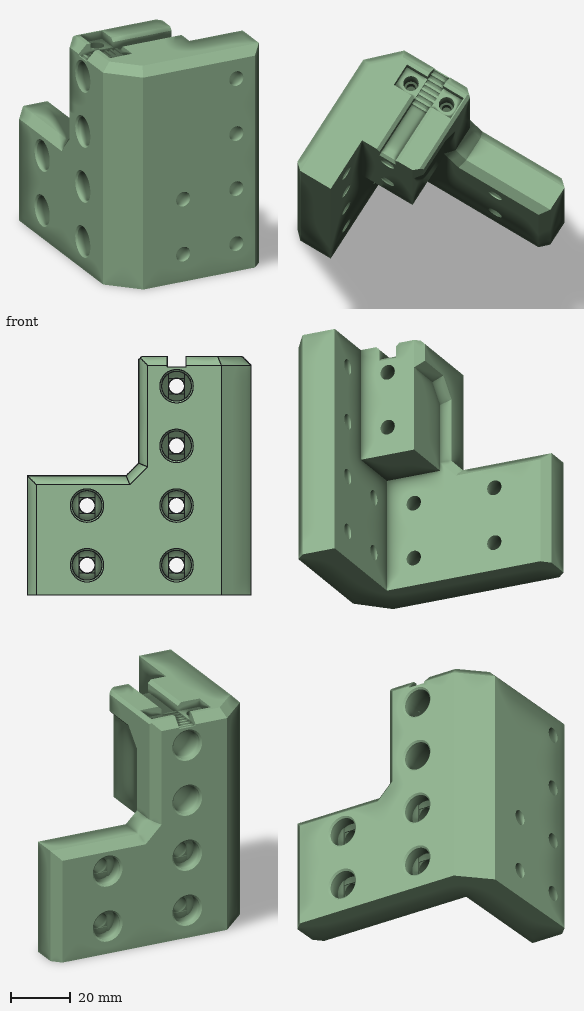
import cadquery as cq

OVERSHOOT = 1.0
TOLERANCE = 0.01

WIDTH, DEPTH, HEIGHT = 75.0, 55.0, 80.0
PLATE = 15.0
WING_TOP = 40.0

BEVEL = 3.0
REAR_BEVEL = 2.85
CORNER_BEVEL = 10.0
TOP_BEVEL = 1.1
NOTCH_BEVEL = 4.2

HOLE_PITCH = 20.0
FIRST_HOLE = 10.0
BOLT_D = 5.3
HEAD_D = 10.0
HEAD_BEVEL = 0.6
BRIDGE_STEP = 0.4
GRIP = 10.0
MAIN_COLUMN = 50.0
WING_COLUMN = 20.0
SIDE_COLUMN = DEPTH - FIRST_HOLE
LOW_ROWS = [FIRST_HOLE, FIRST_HOLE + HOLE_PITCH]
HIGH_ROWS = [row + 2 * HOLE_PITCH for row in LOW_ROWS]

WEB_LEFT = 37.3
WEB_BACK = PLATE + HOLE_PITCH
SIDE_FACE = WIDTH - PLATE
RECESS_FACE = WEB_LEFT + REAR_BEVEL
RECESS_TOP = 70.0
RECESS_CORNER = 6.0
RIM_CORNER = 6.3
REAR_LIP = 2.5
RIM_BASE = RECESS_TOP - 2 * RECESS_CORNER

BELT_WIDTH = 6.2
LAND_Z = 76.45
TOOTH_PITCH = 2.0
GROOVE_RADIUS = 0.6
GROOVE_DEPTH = 0.75
GROOVE_COUNT = 8
CHANNEL_BEVEL = 1.15
FLOOR_BEVEL = 1.0
POCKET_WIDTH, POCKET_LENGTH, POCKET_DEPTH = 22.4, 8.4, 3.0
POCKET_Y = 8.7
INSERT_SPACING = 14.0
INSERT_D, INSERT_MOUTH_D, INSERT_DEPTH = 4.7, 5.2, 5.5
SCREW_D, SCREW_DEPTH = 3.2, 3.0


def box(x0, x1, y0, y1, z0, z1):
    """Box between two opposite corners."""
    body = cq.Workplane("XY").box(x1 - x0, y1 - y0, z1 - z0, centered=False)
    return body.translate((x0, y0, z0))


def near(value, target):
    return abs(value - target) < TOLERANCE


def is_outer_edge(edge):
    """Tell whether an edge belongs to the front outline or to the outer side of the side plate."""
    x, y, z = edge.Center().toTuple()
    front = near(y, 0) and not near(x, WIDTH - CORNER_BEVEL)
    corner_top = near(z, HEIGHT) and x > WIDTH - CORNER_BEVEL and y < CORNER_BEVEL
    side_top = near(z, HEIGHT) and near(x, WIDTH)
    side_back = near(x, WIDTH) and near(y, DEPTH)
    return not near(z, 0) and (front or corner_top or side_top or side_back)


def is_wing_rear_edge(edge):
    """Tell whether an edge lies on the rear outline left of the web."""
    x, y, z = edge.Center().toTuple()
    return near(y, PLATE) and x < WEB_LEFT + TOLERANCE and not near(z, 0)


def plates():
    """Front and side plates with their bevelled edges."""
    front_outline = [
        (0, 0),
        (WIDTH, 0),
        (WIDTH, HEIGHT),
        (WEB_LEFT, HEIGHT),
        (WEB_LEFT, WING_TOP + NOTCH_BEVEL),
        (WEB_LEFT - NOTCH_BEVEL, WING_TOP),
        (0, WING_TOP),
    ]
    body = cq.Workplane("XZ").polyline(front_outline).close().extrude(-PLATE)
    body = body.union(box(SIDE_FACE, WIDTH, 0, DEPTH, 0, HEIGHT))
    body = body.edges("|Z and >X and <Y").chamfer(CORNER_BEVEL)
    rear_edges = [edge for edge in body.edges().vals() if is_wing_rear_edge(edge)]
    body = body.newObject(rear_edges).chamfer(REAR_BEVEL)
    outer_edges = [edge for edge in body.edges().vals() if is_outer_edge(edge)]
    return body.newObject(outer_edges).chamfer(BEVEL)


def recess_outline(inset, corner):
    """YZ outline of the open side of the rim, enlarged upward and forward by inset."""
    front = PLATE - inset
    top = RECESS_TOP + inset
    rear = WEB_BACK - inset * REAR_LIP / REAR_BEVEL
    past_rear = WEB_BACK + OVERSHOOT
    past_top = HEIGHT + OVERSHOOT
    past_base = RIM_BASE - OVERSHOOT
    return [
        (front, past_base),
        (front, top - corner),
        (front + corner, top),
        (rear, top),
        (rear, past_top),
        (past_rear, past_top),
        (past_rear, past_base),
    ]


def web():
    """Web block behind the front plate with a bevelled rim around its recessed left face."""
    block = box(RECESS_FACE, SIDE_FACE, PLATE, WEB_BACK, WING_TOP, HEIGHT)
    rim = box(WEB_LEFT, RECESS_FACE, PLATE - REAR_BEVEL, WEB_BACK, RIM_BASE, HEIGHT)
    recess = (
        cq.Workplane("YZ", origin=(WEB_LEFT, 0, 0))
        .polyline(recess_outline(REAR_BEVEL, RIM_CORNER)).close()
        .workplane(offset=REAR_BEVEL)
        .polyline(recess_outline(0, RECESS_CORNER)).close()
        .loft(ruled=True)
    )
    return block.union(rim.cut(recess))


def top_left_bevel():
    """Wedge removed along the upper left edge of the web."""
    corner = [
        (WEB_LEFT, HEIGHT),
        (WEB_LEFT + TOP_BEVEL, HEIGHT),
        (WEB_LEFT, HEIGHT - TOP_BEVEL),
    ]
    return cq.Workplane("XZ").polyline(corner).close().extrude(-WEB_BACK)


def front_bolt_hole(x, z, back):
    """Bolt hole along Y with a bevelled head bore and stepped layers behind the head."""
    plane = cq.Workplane("XZ", origin=(x, 0, z))
    head_depth = back - GRIP
    bore = plane.circle(HEAD_D / 2).extrude(-head_depth)
    mouth = plane.circle(HEAD_D / 2 + HEAD_BEVEL).extrude(-HEAD_BEVEL, taper=45)
    slot = (
        plane.circle(HEAD_D / 2).extrude(-(head_depth + BRIDGE_STEP))
        .intersect(plane.rect(BOLT_D, HEAD_D).extrude(-back))
    )
    square = plane.rect(BOLT_D, BOLT_D).extrude(-(head_depth + 2 * BRIDGE_STEP))
    shank = plane.circle(BOLT_D / 2).extrude(-(back + OVERSHOOT))
    return bore.union(mouth).union(slot).union(square).union(shank)


def side_bolt_hole(y, z):
    """Plain bolt hole through the side plate."""
    hole = cq.Workplane("YZ", origin=(SIDE_FACE - OVERSHOOT, y, z))
    return hole.circle(BOLT_D / 2).extrude(PLATE + 2 * OVERSHOOT)


def belt_groove(left, y):
    """Round-bottomed groove across the channel that takes one belt tooth."""
    arc_z = GROOVE_RADIUS - GROOVE_DEPTH
    return (
        cq.Workplane("YZ", origin=(left, y, LAND_Z))
        .moveTo(-GROOVE_RADIUS, 0)
        .lineTo(-GROOVE_RADIUS, arc_z)
        .threePointArc((0, -GROOVE_DEPTH), (GROOVE_RADIUS, arc_z))
        .lineTo(GROOVE_RADIUS, 0)
        .close().extrude(BELT_WIDTH)
    )


def belt_channel():
    """Slot for the belt: toothed at the front, at groove depth behind, bevelled edges."""
    left = MAIN_COLUMN - BELT_WIDTH / 2
    right = MAIN_COLUMN + BELT_WIDTH / 2
    floor = LAND_Z - GROOVE_DEPTH
    past_top = HEIGHT + OVERSHOOT
    first_groove = TOOTH_PITCH / 2
    last_groove = first_groove + (GROOVE_COUNT - 1) * TOOTH_PITCH

    channel = box(left, right, -OVERSHOOT, WEB_BACK, LAND_Z, past_top)
    channel = channel.union(box(left, right, last_groove, WEB_BACK, floor, past_top))
    for index in range(GROOVE_COUNT):
        groove = belt_groove(left, first_groove + index * TOOTH_PITCH)
        channel = channel.union(groove)

    rear_wedge = [
        (WEB_BACK, floor),
        (WEB_BACK - FLOOR_BEVEL, floor),
        (WEB_BACK, floor - FLOOR_BEVEL),
    ]
    channel = channel.union(
        cq.Workplane("YZ", origin=(left, 0, 0)).polyline(rear_wedge).close().extrude(BELT_WIDTH)
    )

    edge_outline = [
        (left - CHANNEL_BEVEL, HEIGHT),
        (left, HEIGHT - CHANNEL_BEVEL),
        (right, HEIGHT - CHANNEL_BEVEL),
        (right + CHANNEL_BEVEL, HEIGHT),
    ]
    bevel_length = WEB_BACK - POCKET_Y
    edges = (
        cq.Workplane("XZ", origin=(0, POCKET_Y, 0))
        .polyline(edge_outline).close().extrude(-bevel_length)
    )
    return channel.union(edges)


def insert_hole(x, floor):
    """Tapered hole for a threaded insert with a narrower screw relief below it."""
    plane = cq.Workplane("XY", origin=(x, POCKET_Y, floor))
    taper = (
        plane.circle(INSERT_MOUTH_D / 2)
        .workplane(offset=-INSERT_DEPTH)
        .circle(INSERT_D / 2)
        .loft(ruled=True)
    )
    return taper.union(plane.circle(SCREW_D / 2).extrude(-(INSERT_DEPTH + SCREW_DEPTH)))


def clamp_pocket():
    """Pocket for the clamp plate with two insert holes in its floor."""
    floor = HEIGHT - POCKET_DEPTH
    pocket = box(
        MAIN_COLUMN - POCKET_WIDTH / 2,
        MAIN_COLUMN + POCKET_WIDTH / 2,
        POCKET_Y - POCKET_LENGTH / 2,
        POCKET_Y + POCKET_LENGTH / 2,
        floor,
        HEIGHT + OVERSHOOT,
    )
    for side in (-1, 1):
        x = MAIN_COLUMN + side * INSERT_SPACING / 2
        pocket = pocket.union(insert_hole(x, floor))
    return pocket


def bracket():
    body = plates().union(web()).cut(top_left_bevel())
    for row in LOW_ROWS:
        body = body.cut(front_bolt_hole(WING_COLUMN, row, PLATE))
        body = body.cut(front_bolt_hole(MAIN_COLUMN, row, PLATE))
        body = body.cut(side_bolt_hole(SIDE_COLUMN - HOLE_PITCH, row))
    for row in HIGH_ROWS:
        body = body.cut(front_bolt_hole(MAIN_COLUMN, row, WEB_BACK))
    for row in LOW_ROWS + HIGH_ROWS:
        body = body.cut(side_bolt_hole(SIDE_COLUMN, row))
    return body.cut(belt_channel()).cut(clamp_pocket())


result = bracket()